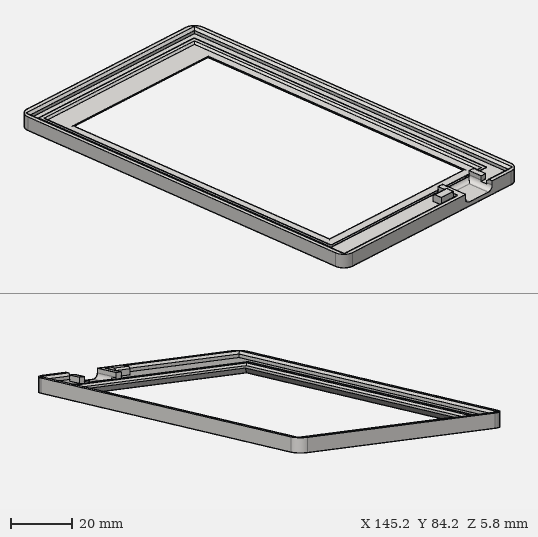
import cadquery as cq

length = 145.2
width = 84.2
right = length / 2
back = width / 2
rim_top = 5.1
corner_radius = 3.9

floor_level = 3.0
ledge_level = 2.9
panel_level = 2.2

rim_width = 1.6
rim_bevel = 0.9

ledge_bounds = (-68.3, 62.3, -37.5, 37.5)
panel_bounds = (-67.0, 61.1, -36.2, 36.2)
window_bounds = (-57.4, 57.1, -32.5, 32.5)

channel_left = ledge_bounds[1]
channel_front = 16.3
channel_back = 29.0
channel_bottom = 1.6
channel_radius = 1.9

rib_width = 2.2
back_rib_length = 5.4

post_left = 65.4
post_right = 69.1
post_length = 5.8
post_top = 5.8
post_bevel = 0.7


def block(x_min, x_max, y_min, y_max, z_min, z_max):
    """Box given by its limits along each axis."""
    return cq.Workplane("XY").box(
        x_max - x_min, y_max - y_min, z_max - z_min, centered=False
    ).translate((x_min, y_min, z_min))


def grow(bounds, distance):
    """Rectangle limits moved outward by a distance, or inward if it is negative."""
    x_min, x_max, y_min, y_max = bounds
    return (x_min - distance, x_max + distance, y_min - distance, y_max + distance)


def bevelled_block(bounds, z_min, z_max, narrow_side):
    """Block with 45 degree walls that narrow fully toward one face, '<Z' or '>Z'."""
    height = z_max - z_min
    x_min, x_max, y_min, y_max = bounds
    narrow = grow(bounds, -height)
    lower, upper = (narrow, bounds) if narrow_side == "<Z" else (bounds, narrow)
    return (
        cq.Workplane("XY", origin=((x_min + x_max) / 2, (y_min + y_max) / 2, z_min))
        .rect(lower[1] - lower[0], lower[3] - lower[2])
        .workplane(offset=height)
        .rect(upper[1] - upper[0], upper[3] - upper[2])
        .loft(ruled=True)
    )


def make_frame():
    """Rounded plate with a stepped interior and a window that flares toward the underside."""
    outside = (-right, right, -back, back)
    rim_inside = grow(outside, -rim_width)
    frame = block(*outside, 0, rim_top).edges("|Z").fillet(corner_radius)
    frame = frame.cut(bevelled_block(rim_inside, rim_top - rim_bevel, rim_top, "<Z"))
    frame = frame.cut(block(*grow(rim_inside, -rim_bevel), floor_level, rim_top))
    frame = frame.cut(block(*ledge_bounds, ledge_level, rim_top))
    frame = frame.cut(bevelled_block(panel_bounds, panel_level, ledge_level, "<Z"))
    return frame.cut(bevelled_block(grow(window_bounds, panel_level), 0, panel_level, ">Z"))


def make_ribs():
    """Two ribs level with the rim, overlapping the channel until it is cut."""
    front_rib = block(
        channel_left, right, channel_front - rib_width,
        channel_front + channel_radius, panel_level, rim_top,
    )
    back_rib = block(
        channel_left, channel_left + back_rib_length, channel_back - channel_radius,
        channel_back + rib_width, panel_level, rim_top,
    )
    return front_rib.union(back_rib)


def make_channel():
    """Cutter with rounded lower edges, open at the top and the right."""
    cutter = block(channel_left, right, channel_front, channel_back, channel_bottom, post_top)
    return cutter.faces("<Z").edges("not >X").fillet(channel_radius)


def make_post():
    """Post standing on the floor in front of the front rib."""
    post_back = channel_front - rib_width
    post = block(post_left, post_right, post_back - post_length, post_back, floor_level, post_top)
    return post.faces(">Z").edges("<X").chamfer(post_bevel)


result = make_frame().union(make_ribs()).cut(make_channel()).union(make_post())